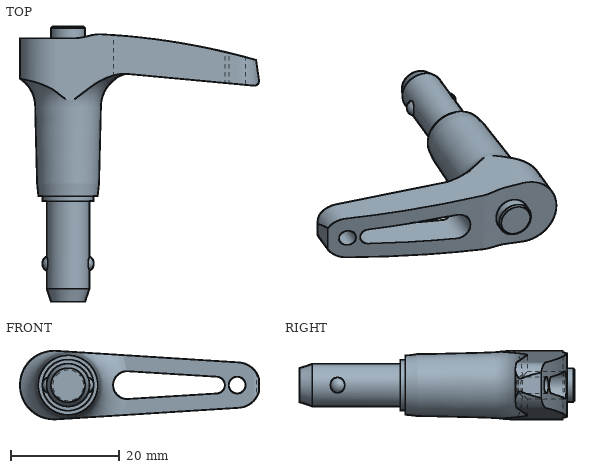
import cadquery as cq
import math


pin_radius = 3.95
tip_radius = 3.15
tip_length = 2.45
ball_radius = 1.45
ball_reach = 4.8
ball_y = 7.05

collar_radius = 4.7
collar_start = 18.6
grip_start = 19.5
grip_end_radius = 5.5
grip_shoulder_y = 21.8
grip_shoulder_radius = 5.75
grip_top = 36.05
grip_top_radius = 6.1
flare_radius = 6.05
flare_core_top = 45.7

head_left = -8.9
head_radius = 6.35
head_x = head_left + head_radius
head_top = 48.6
handle_right = 35.4
end_x = 31.2
end_radius = handle_right - end_x
underside_slope = math.radians(5.3)
underside_start = (12.55, 41.85)
corner_radius = 0.9

rise_start_x = 1.3
crest = (5.85, 49.4)
back_middle = (22.0, 47.55)
back_end = (34.7, 44.6)

slot_wide_radius = 2.55
slot_wide_x = 10.85
slot_narrow_radius = 1.5
slot_narrow_x = 27.4
hole_radius = 1.5

button_radius = 3.15
button_top = 50.8
button_chamfer = 0.3


def revolved(profile):
    return profile.close().revolve(360, (0, 0, 0), (0, 1, 0))


def cylinder_along_y(radius, start, end):
    return cq.Workplane("XZ", origin=(0, start, 0)).circle(radius).extrude(start - end)


def tapered_link(x1, r1, x2, r2):
    """Two circles joined by their outer tangents, extruded along the pin axis."""
    lean = math.asin((r1 - r2) / (x2 - x1))
    run, rise = math.sin(lean), math.cos(lean)
    return (
        cq.Workplane("XZ")
        .moveTo(x1 + r1 * run, r1 * rise)
        .lineTo(x2 + r2 * run, r2 * rise)
        .threePointArc((x2 + r2, 0), (x2 + r2 * run, -r2 * rise))
        .lineTo(x1 + r1 * run, -r1 * rise)
        .threePointArc((x1 - r1, 0), (x1 + r1 * run, r1 * rise))
        .close()
        .extrude(-button_top)
    )


def underside_y(x):
    return underside_start[1] - (x - underside_start[0]) * math.tan(underside_slope)


def handle_side_profile():
    """Handle silhouette in X and Y, thick enough to cover the whole head width."""
    return (
        cq.Workplane("XY")
        .moveTo(head_left, underside_y(head_left))
        .lineTo(head_left, head_top)
        .lineTo(rise_start_x, head_top)
        .spline([crest], tangents=[(1, 0), (1, 0)], includeCurrent=True)
        .threePointArc(back_middle, back_end)
        .lineTo(handle_right, underside_y(handle_right))
        .close()
        .extrude(head_radius, both=True)
        .edges("|Z and >X or (|Z and >>X[-2])")
        .fillet(corner_radius)
    )


def flare():
    """Concave trumpet from the grip, running out into the handle underside."""
    center_x = grip_top_radius + flare_radius
    diagonal = flare_radius * math.sqrt(0.5)
    return revolved(
        cq.Workplane("XY")
        .moveTo(0, grip_top)
        .lineTo(grip_top_radius, grip_top)
        .threePointArc((center_x - diagonal, grip_top + diagonal), (center_x, grip_top + flare_radius))
        .lineTo(center_x, flare_core_top)
        .lineTo(0, flare_core_top)
    )


def shank():
    return revolved(
        cq.Workplane("XY")
        .lineTo(tip_radius, 0)
        .lineTo(pin_radius, tip_length)
        .lineTo(pin_radius, collar_start)
        .lineTo(collar_radius, collar_start)
        .lineTo(collar_radius, grip_start)
        .lineTo(grip_end_radius, grip_start)
        .lineTo(grip_shoulder_radius, grip_shoulder_y)
        .lineTo(grip_top_radius, grip_top)
        .lineTo(0, grip_top)
    )


def locking_ball(side):
    return cq.Workplane("XY").sphere(ball_radius).translate((side * (ball_reach - ball_radius), ball_y, 0))


plan = tapered_link(head_x, head_radius, end_x, end_radius)
handle = handle_side_profile().union(flare()).intersect(plan)
handle = handle.cut(tapered_link(slot_wide_x, slot_wide_radius, slot_narrow_x, slot_narrow_radius))
handle = handle.cut(cylinder_along_y(hole_radius, 0, button_top).translate((end_x, 0, 0)))

button = cylinder_along_y(button_radius, grip_top, button_top).faces(">Y").chamfer(button_chamfer)

result = shank().union(handle).union(button)
for side in (-1, 1):
    result = result.union(locking_ball(side))